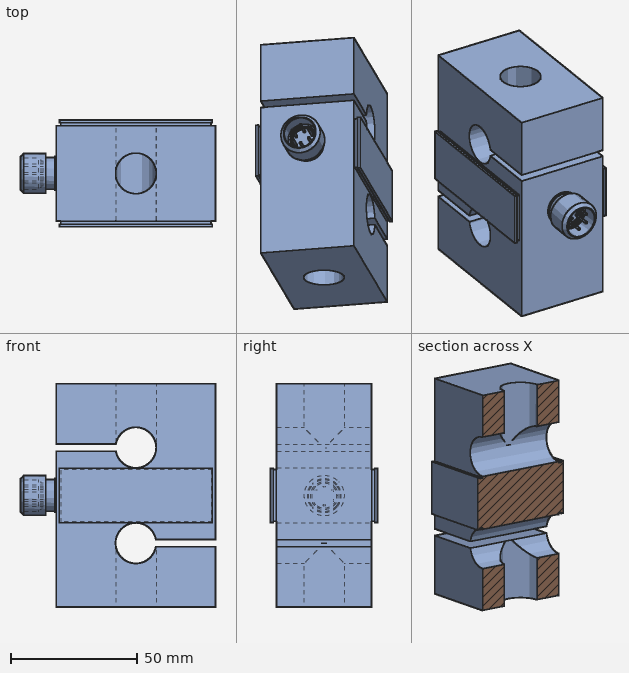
import cadquery as cq

body_width = 63.1
body_depth = 37.7
body_height = 88.4

bore_diameter = 16.0
loading_hole_diameter = 16.1
bore_offset = 18.9
slot_height = 2.7

cover_width = 60.55
cover_height = 21.5
overall_depth = 42.4
cover_thickness = (overall_depth - body_depth) / 2
cover_lip = cover_thickness / 2
cover_inset = 0.4

connector_length = 14.1
flange_length = 0.6
flange_radius = 6.7
neck_length = 3.45
neck_radius = 6.4
barrel_radius = 7.95
barrel_chamfer = 1.4
socket_steps = (
    (6.3, 7.1),
    (5.5, 7.95),
    (4.95, 8.8),
)
pin_count = 6
pin_radius = 0.4
pin_circle_radius = 3.8
pin_recess = 1.4

face_x = -body_width / 2
tip_x = face_x - connector_length


def x_cylinder(radius, start_x, length):
    """Cylinder on the connector axis, growing toward +X."""
    return cq.Workplane("YZ", origin=(start_x, 0, 0)).circle(radius).extrude(length)


def end_cutter(side):
    """Cross bore, side slot and loading hole; side is +1 for top, -1 for bottom."""
    bore_z = side * bore_offset
    bore = (
        cq.Workplane("XZ")
        .center(0, bore_z)
        .circle(bore_diameter / 2)
        .extrude(body_depth / 2, both=True)
    )
    slot = (
        cq.Workplane("XY")
        .box(body_width / 2, body_depth, slot_height)
        .translate((-side * body_width / 4, 0, bore_z))
    )
    loading_hole = (
        cq.Workplane("XY", origin=(0, 0, bore_z))
        .circle(loading_hole_diameter / 2)
        .extrude(side * (body_height / 2 - bore_offset))
    )
    return bore.union(slot).union(loading_hole)


def cover(side):
    """Stepped cover plate on the +Y (side = 1) or -Y (side = -1) face."""
    base_thickness = cover_thickness - cover_lip
    base = (
        cq.Workplane("XY")
        .box(cover_width - 2 * cover_inset, base_thickness, cover_height - 2 * cover_inset)
        .translate((0, side * (body_depth + base_thickness) / 2, 0))
    )
    lip = (
        cq.Workplane("XY")
        .box(cover_width, cover_lip, cover_height)
        .translate((0, side * (overall_depth - cover_lip) / 2, 0))
    )
    return base.union(lip)


def connector():
    """Round plug: flange, neck, chamfered barrel, stepped socket and pins."""
    barrel_length = connector_length - flange_length - neck_length
    barrel = x_cylinder(barrel_radius, tip_x, barrel_length).faces("<X").chamfer(barrel_chamfer)
    neck = x_cylinder(neck_radius, tip_x + barrel_length, neck_length)
    flange = x_cylinder(flange_radius, face_x - flange_length, flange_length)
    shell = barrel.union(neck).union(flange)
    for radius, depth in socket_steps:
        shell = shell.cut(x_cylinder(radius, tip_x, depth))
    pins = (
        cq.Workplane("YZ", origin=(tip_x + pin_recess, 0, 0))
        .polarArray(pin_circle_radius, 90, 360, pin_count)
        .circle(pin_radius)
        .extrude(connector_length - pin_recess)
    )
    return shell.union(pins)


result = cq.Workplane("XY").box(body_width, body_depth, body_height)
for side in (1, -1):
    result = result.cut(end_cutter(side)).union(cover(side))
result = result.union(connector())